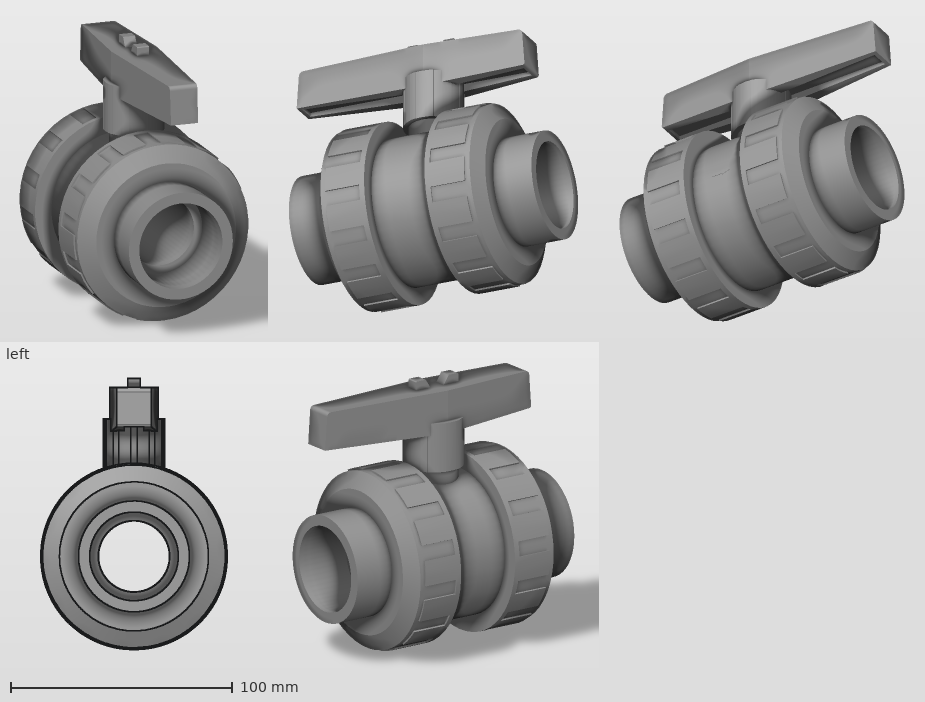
import cadquery as cq
import math

PIPE_HALF_LENGTH = 60.25
PIPE_RADIUS = 25
SOCKET_RADIUS = 20
SOCKET_DEPTH = 26
BORE_RADIUS = 16
BODY_RADIUS = 34.1

NUT_INNER_X = 15
NUT_OUTER_X = 41.3
NUT_CONE_X = 37
NUT_RADIUS = 42
NUT_CORE_RADIUS = 41.2
NUT_FACE_RADIUS = 33.6
GRIP_INNER_X = 17.5
GRIP_OUTER_X = 34.5
GRIP_COUNT = 14
GRIP_WIDTH_ANGLE = 16
GRIP_PHASE = 5
WEDGE_MARGIN = 8

ARROW_TAIL_X = -4.9
ARROW_SHOULDER_X = 0.4
ARROW_TIP_X = 4.7
ARROW_SHAFT_WIDTH = 1.5
ARROW_HEAD_WIDTH = 2.7
ARROW_HEIGHT = 0.2

STEM_RADIUS = 11.3
HUB_BOTTOM_Z = 39
HUB_TOP_Z = 61.9
HUB_RADIUS = 13.9
HUB_CORE_RADIUS = 13.75
SPLINE_COUNT = 10
SPLINE_WIDTH = 3.1

HANDLE_TOP_Z = 76.1
HANDLE_LEFT_X = -48.8
HANDLE_RIGHT_X = 65
HANDLE_END_Z = 58.4
HANDLE_MIDDLE_Z = 55.9
HANDLE_END_LEAN = 1.3
HANDLE_MIDDLE_WIDTH = 22
HANDLE_LEFT_WIDTH = 15.4
HANDLE_RIGHT_WIDTH = 13
HANDLE_TOP_FILLET = 2
HANDLE_BOTTOM_FILLET = 1
CHANNEL_WIDTH = 8.6
CHANNEL_ROOF_Z = 60.2
CHANNEL_END_WALL = 2

LUG_TOP_Z = 80.33
LUG_OUTER_X = 11.7
LUG_TOP_INNER_X = 6.4
LUG_BASE_INNER_X = 3.7
LUG_WIDTH = 5.8
LUG_FILLET = 0.5


def cylinder_x(radius, start_x, end_x):
    return cq.Workplane("YZ").workplane(offset=start_x).circle(radius).extrude(end_x - start_x)


def make_nut():
    """Union nut on the -X side with raised grip pads around it."""
    profile = [
        (-NUT_INNER_X, 0),
        (-NUT_INNER_X, NUT_RADIUS),
        (-GRIP_INNER_X, NUT_RADIUS),
        (-GRIP_INNER_X, NUT_CORE_RADIUS),
        (-NUT_CONE_X, NUT_CORE_RADIUS),
        (-NUT_OUTER_X, NUT_FACE_RADIUS),
        (-NUT_OUTER_X, 0),
    ]
    core = cq.Workplane("XY").polyline(profile).close().revolve(360, (0, 0, 0), (1, 0, 0))

    half_angle = math.radians(GRIP_WIDTH_ANGLE / 2)
    wedge_reach = NUT_RADIUS + WEDGE_MARGIN
    wedge_half_width = wedge_reach * math.tan(half_angle)
    wedge = (
        cq.Workplane("YZ")
        .workplane(offset=-GRIP_OUTER_X)
        .polyline([(0, 0), (-wedge_reach, wedge_half_width), (-wedge_reach, -wedge_half_width)])
        .close()
        .extrude(GRIP_OUTER_X - GRIP_INNER_X)
    )
    pad = wedge.intersect(cylinder_x(NUT_RADIUS, -GRIP_OUTER_X, -GRIP_INNER_X))
    for index in range(GRIP_COUNT):
        angle = -(GRIP_PHASE + index * 360 / GRIP_COUNT)
        core = core.union(pad.rotate((0, 0, 0), (1, 0, 0), angle))
    return core


def make_arrow():
    """Flow arrow pointing along +X, standing just proud of the body."""
    shaft = ARROW_SHAFT_WIDTH / 2
    head = ARROW_HEAD_WIDTH / 2
    outline = [
        (ARROW_TAIL_X, shaft),
        (ARROW_SHOULDER_X, shaft),
        (ARROW_SHOULDER_X, head),
        (ARROW_TIP_X, 0),
        (ARROW_SHOULDER_X, -head),
        (ARROW_SHOULDER_X, -shaft),
        (ARROW_TAIL_X, -shaft),
    ]
    return cq.Workplane("XZ").polyline(outline).close().extrude(BODY_RADIUS + ARROW_HEIGHT)


def make_hub():
    """Stem with a round hub and straight splines around it."""
    hub_height = HUB_TOP_Z - HUB_BOTTOM_Z
    stem = cq.Workplane("XY").circle(STEM_RADIUS).extrude(HUB_TOP_Z)
    base = cq.Workplane("XY").workplane(offset=HUB_BOTTOM_Z)
    core = base.circle(HUB_CORE_RADIUS).extrude(hub_height)
    bar = base.rect(2 * HUB_RADIUS, SPLINE_WIDTH).extrude(hub_height)
    bars = bar
    for index in range(1, SPLINE_COUNT // 2):
        bars = bars.union(bar.rotate((0, 0, 0), (0, 0, 1), index * 360 / SPLINE_COUNT))
    splines = bars.intersect(base.circle(HUB_RADIUS).extrude(hub_height))
    return stem.union(core).union(splines)


def make_handle():
    """Lever tapering in plan and in height, with a channel in its underside."""
    side = (
        cq.Workplane("XZ")
        .polyline([
            (HANDLE_LEFT_X, HANDLE_END_Z),
            (0, HANDLE_MIDDLE_Z),
            (HANDLE_RIGHT_X, HANDLE_END_Z),
            (HANDLE_RIGHT_X - HANDLE_END_LEAN, HANDLE_TOP_Z),
            (HANDLE_LEFT_X + HANDLE_END_LEAN, HANDLE_TOP_Z),
        ])
        .close()
        .extrude(HANDLE_MIDDLE_WIDTH / 2, both=True)
    )
    side = side.edges("|Y and >Z").fillet(HANDLE_TOP_FILLET)
    side = side.edges("|Y and <X").fillet(HANDLE_BOTTOM_FILLET)

    plan = (
        cq.Workplane("XY")
        .polyline([
            (HANDLE_LEFT_X, HANDLE_LEFT_WIDTH / 2),
            (0, HANDLE_MIDDLE_WIDTH / 2),
            (HANDLE_RIGHT_X, HANDLE_RIGHT_WIDTH / 2),
            (HANDLE_RIGHT_X, -HANDLE_RIGHT_WIDTH / 2),
            (0, -HANDLE_MIDDLE_WIDTH / 2),
            (HANDLE_LEFT_X, -HANDLE_LEFT_WIDTH / 2),
        ])
        .close()
        .extrude(HANDLE_TOP_Z)
    )
    channel_start = HANDLE_LEFT_X + CHANNEL_END_WALL
    channel_end = HANDLE_RIGHT_X - CHANNEL_END_WALL
    channel = (
        cq.Workplane("XY")
        .center((channel_start + channel_end) / 2, 0)
        .rect(channel_end - channel_start, CHANNEL_WIDTH)
        .extrude(CHANNEL_ROOF_Z)
    )
    return side.intersect(plan).cut(channel)


def make_lug():
    """Indicator lug on the +X side, sloped on the face towards the stem."""
    lug = (
        cq.Workplane("XZ")
        .polyline([
            (LUG_BASE_INNER_X, HANDLE_TOP_Z),
            (LUG_TOP_INNER_X, LUG_TOP_Z),
            (LUG_OUTER_X, LUG_TOP_Z),
            (LUG_OUTER_X, HANDLE_TOP_Z),
        ])
        .close()
        .extrude(LUG_WIDTH / 2, both=True)
    )
    return lug.edges("|Y and >Z and >X").fillet(LUG_FILLET)


nut = make_nut()
lug = make_lug()

valve = cylinder_x(PIPE_RADIUS, -PIPE_HALF_LENGTH, PIPE_HALF_LENGTH)
valve = valve.union(cylinder_x(BODY_RADIUS, -NUT_INNER_X, NUT_INNER_X))
valve = valve.union(nut).union(nut.rotate((0, 0, 0), (0, 0, 1), 180))
valve = valve.union(make_arrow())
valve = valve.union(make_hub()).union(make_handle())
valve = valve.union(lug).union(lug.mirror("YZ"))

valve = valve.cut(cylinder_x(BORE_RADIUS, -PIPE_HALF_LENGTH, PIPE_HALF_LENGTH))
valve = valve.cut(cylinder_x(SOCKET_RADIUS, -PIPE_HALF_LENGTH, SOCKET_DEPTH - PIPE_HALF_LENGTH))
valve = valve.cut(cylinder_x(SOCKET_RADIUS, PIPE_HALF_LENGTH - SOCKET_DEPTH, PIPE_HALF_LENGTH))

result = valve